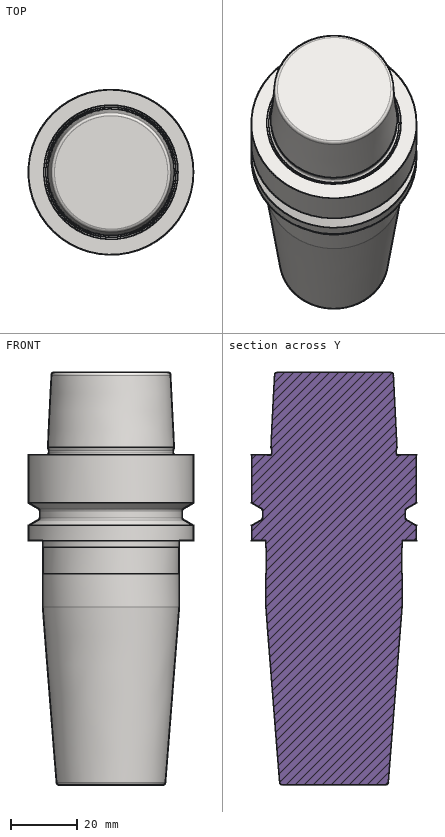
import cadquery as cq
import math

flange_radius = 25.0
flange_length = 26.0
body_length = 100.0

shank_length = 24.9
shank_base_radius = 19.15
shank_taper_start = 2.2
shank_taper = 1 / 9.98
shank_top_fillet = 0.9

relief_neck_radius = 18.9
relief_neck_top = 1.3
relief_fillet = 0.8
face_recess_radius = 20.3
face_recess_depth = 0.2

groove_centre_depth = 18.05
groove_floor_radius = 21.6
groove_mouth_width = 6.8
groove_wall_angle = 30.0
groove_corner_fillet = 0.6

collar_radius = 20.7
collar_end_depth = 46.0
band_radius = 20.6
band_start_depth = 28.0
band_end_depth = 36.0

nose_angle = 4.5
nose_end_fillet = 1.0

relief_foot_radius = relief_neck_radius + relief_fillet


def turn(profile):
    """Close a profile drawn as (radius, height) and revolve it about Z."""
    return profile.close().revolve(360, (0, 0, 0), (0, 1, 0))


def make_shank():
    taper_length = shank_length - shank_taper_start
    top_radius = shank_base_radius - taper_length * shank_taper / 2
    fillet_inset = relief_fillet * (1 - math.sqrt(0.5))
    fillet_middle = (relief_neck_radius + fillet_inset, fillet_inset - face_recess_depth)
    fillet_end = (relief_neck_radius, relief_fillet - face_recess_depth)
    shank = turn(
        cq.Workplane("XZ")
        .moveTo(0, -face_recess_depth)
        .lineTo(relief_foot_radius, -face_recess_depth)
        .threePointArc(fillet_middle, fillet_end)
        .lineTo(relief_neck_radius, relief_neck_top)
        .lineTo(shank_base_radius, shank_taper_start)
        .lineTo(top_radius, shank_length)
        .lineTo(0, shank_length)
    )
    return shank.faces(">Z").edges().fillet(shank_top_fillet)


def make_flange():
    return cq.Workplane("XY").circle(flange_radius).extrude(-flange_length)


def make_face_recess():
    """Shallow dish in the upper flange face, around the foot of the shank."""
    return turn(
        cq.Workplane("XZ").polyline([
            (0, 0),
            (face_recess_radius, 0),
            (relief_foot_radius, -face_recess_depth),
            (0, -face_recess_depth),
        ])
    )


def make_gripper_groove():
    wall_depth = flange_radius - groove_floor_radius
    half_mouth = groove_mouth_width / 2
    half_floor = half_mouth - wall_depth * math.tan(math.radians(groove_wall_angle))
    groove = turn(
        cq.Workplane("XZ").polyline([
            (flange_radius, half_mouth - groove_centre_depth),
            (groove_floor_radius, half_floor - groove_centre_depth),
            (groove_floor_radius, -half_floor - groove_centre_depth),
            (flange_radius, -half_mouth - groove_centre_depth),
        ])
    )
    floor_edges = cq.selectors.RadiusNthSelector(0)
    return groove.edges(floor_edges).fillet(groove_corner_fillet)


def make_collar_and_nose():
    nose_length = body_length - collar_end_depth
    end_radius = collar_radius - nose_length * math.tan(math.radians(nose_angle))
    body = turn(
        cq.Workplane("XZ").polyline([
            (0, -flange_length),
            (collar_radius, -flange_length),
            (collar_radius, -collar_end_depth),
            (end_radius, -body_length),
            (0, -body_length),
        ])
    )
    return body.faces("<Z").edges().fillet(nose_end_fillet)


def make_collar_band():
    """Ring of material removed to leave the shallow band."""
    return (
        cq.Workplane("XY")
        .workplane(offset=-band_start_depth)
        .circle(flange_radius)
        .circle(band_radius)
        .extrude(band_start_depth - band_end_depth)
    )


flange = make_flange().cut(make_face_recess()).cut(make_gripper_groove())
lower_body = make_collar_and_nose().cut(make_collar_band())
result = flange.union(make_shank()).union(lower_body)